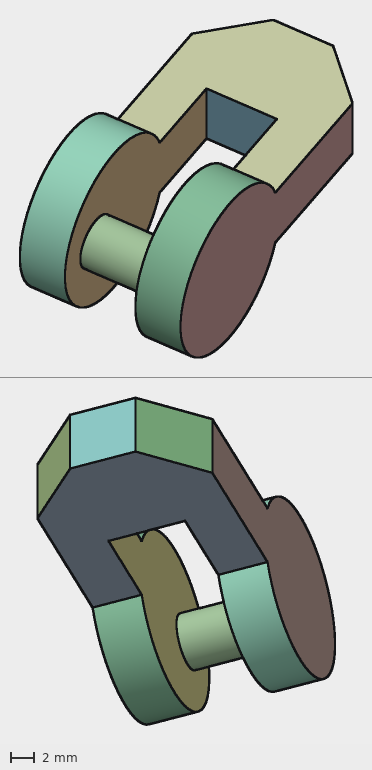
import cadquery as cq

length = 33.0
width = 16.0
disc_diameter = 16.0
plate_thickness = 6.0
slot_width = 7.0
back_web = 10.0
corner_chamfer = 5.0
pin_diameter = 5.0
pin_offset = 3.0

front_y = -disc_diameter / 2
back_y = front_y + length
slot_end_y = back_y - back_web


def x_cylinder(diameter, span, y):
    """Cylinder along X, centred on X = 0 and Z = 0."""
    return (
        cq.Workplane("YZ", origin=(-span / 2, y, 0))
        .circle(diameter / 2)
        .extrude(span)
    )


def plate():
    """Flat tang from the disc axis to the back end, with chamfered back corners."""
    return (
        cq.Workplane("XY")
        .box(width, back_y, plate_thickness, centered=(True, False, True))
        .edges("|Z and >Y")
        .chamfer(corner_chamfer)
    )


def slot():
    """Full-height gap that parts the fork into two cheeks, open at the front."""
    return (
        cq.Workplane("XY")
        .center(0, (front_y + slot_end_y) / 2)
        .box(slot_width, slot_end_y - front_y, disc_diameter)
    )


fork = plate().union(x_cylinder(disc_diameter, width, 0)).cut(slot())

result = fork.union(x_cylinder(pin_diameter, width, -pin_offset))